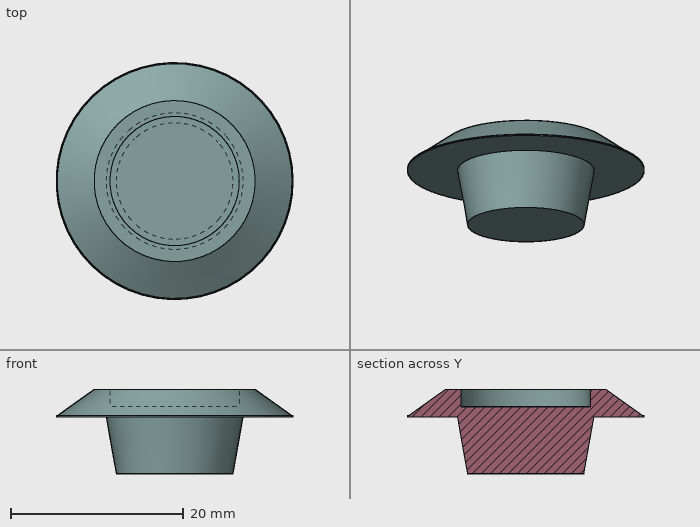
import cadquery as cq

flange_diameter = 27.5
shoulder_base_diameter = 27.22
shoulder_top_diameter = 18.67
rim_height = 0.16
shoulder_height = 3.05

total_height = 9.8
stem_top_diameter = 15.87
stem_bottom_diameter = 13.53

recess_diameter = 15.0
recess_depth = 2.0

rim_bottom = total_height - shoulder_height - rim_height
rim_top = rim_bottom + rim_height

body = (
    cq.Workplane("XZ")
    .polyline([
        (0, 0),
        (stem_bottom_diameter / 2, 0),
        (stem_top_diameter / 2, rim_bottom),
        (flange_diameter / 2, rim_bottom),
        (flange_diameter / 2, rim_top),
        (shoulder_base_diameter / 2, rim_top),
        (shoulder_top_diameter / 2, total_height),
        (0, total_height),
    ])
    .close()
    .revolve(360, (0, 0, 0), (0, 1, 0))
)

recess = (
    cq.Workplane("XY")
    .workplane(offset=total_height - recess_depth)
    .circle(recess_diameter / 2)
    .extrude(recess_depth)
)

result = body.cut(recess)